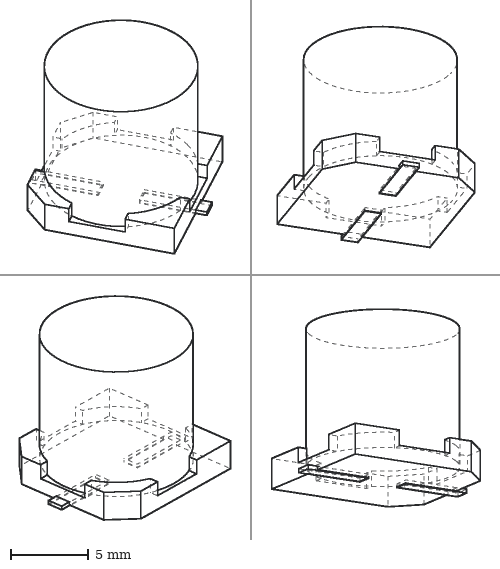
import cadquery as cq

OVERALL_LENGTH = 11.99
OVERALL_HEIGHT = 10.34

CAN_DIAMETER = 9.96

BASE_WIDTH = 10.49
BASE_HEIGHT = 2.06
BASE_CHAMFER = 1.7
NOTCH_WIDTH = 3.81
SEAT_HEIGHT = BASE_HEIGHT / 2

LEAD_WIDTH = 1.14
LEAD_THICKNESS = 0.28
LEAD_GAP = 2.79
LEAD_STANDOFF = 0.05
LEAD_LENGTH = (OVERALL_LENGTH - LEAD_GAP) / 2

BASE_BOTTOM = LEAD_STANDOFF
SEAT_LEVEL = BASE_BOTTOM + SEAT_HEIGHT


def make_can():
    """Plain cylinder standing on the seat of the base."""
    return (
        cq.Workplane("XY")
        .workplane(offset=SEAT_LEVEL)
        .circle(CAN_DIAMETER / 2)
        .extrude(OVERALL_HEIGHT - SEAT_LEVEL)
    )


def make_lead(side):
    """Flat strip along X; side is -1 or +1."""
    return (
        cq.Workplane("XY")
        .center(side * (LEAD_GAP + LEAD_LENGTH) / 2, 0)
        .rect(LEAD_LENGTH, LEAD_WIDTH)
        .extrude(LEAD_THICKNESS)
    )


def make_base(can, leads):
    """Square plate with two chamfered corners, four side notches, a can seat and lead slots."""
    base = (
        cq.Workplane("XY")
        .workplane(offset=BASE_BOTTOM)
        .rect(BASE_WIDTH, BASE_WIDTH)
        .extrude(BASE_HEIGHT)
        .edges("|Z and <X")
        .chamfer(BASE_CHAMFER)
    )
    for length, width in [(BASE_WIDTH, NOTCH_WIDTH), (NOTCH_WIDTH, BASE_WIDTH)]:
        channel = (
            cq.Workplane("XY")
            .workplane(offset=SEAT_LEVEL)
            .rect(length, width)
            .extrude(BASE_HEIGHT - SEAT_HEIGHT)
        )
        base = base.cut(channel)
    base = base.cut(can)
    for lead in leads:
        base = base.cut(lead)
    return base


can = make_can()
leads = [make_lead(side) for side in (-1, 1)]
base = make_base(can, leads)

lead_solids = [lead.val() for lead in leads]
result = cq.Compound.makeCompound([can.val(), base.solids().val(), *lead_solids])